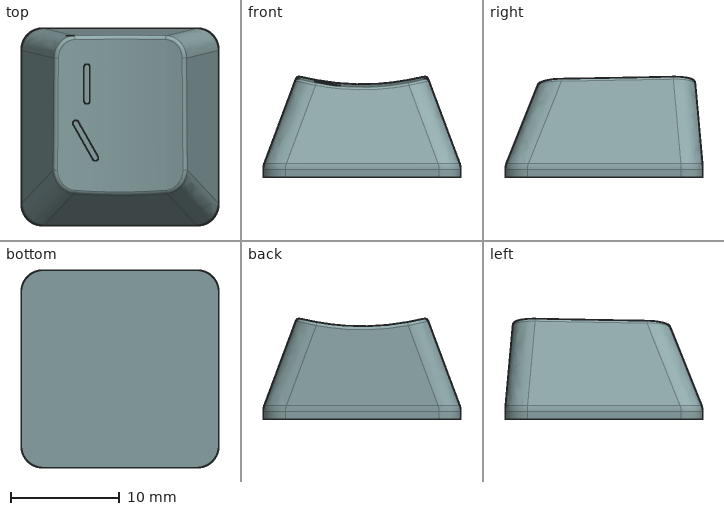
import cadquery as cq
import math

base_size = 18.16
half_base = base_size / 2
skirt_height = 0.75
bend_height = 0.56
bend_top = skirt_height + bend_height
block_height = 10.9
side_slope = 0.373
front_slope = 0.4
back_slope = 0.09
corner_radius = 2.02
rim_radius = 0.35

dish_radius = 22.7
dish_floor = 8.4
dish_slope = 0.02
dish_tilt = math.degrees(math.atan(dish_slope))
dish_length = 2 * base_size

groove_width = 0.55
groove_depth = 0.04
grooves = [
    ((-3.03, 3.94), 3.67, 90),
    ((-3.16, -1.25), 4.2, -60.5),
]


def run_height(height):
    """Wall height that counts toward the inward run, easing in across the bend."""
    if height < bend_top:
        return (height - skirt_height) ** 2 / (2 * bend_height)
    return height - (skirt_height + bend_top) / 2


def rounded_outline(height):
    """Rounded rectangle that the walls enclose at a given height."""
    run = run_height(height)
    half_width = half_base - side_slope * run
    front = -half_base + front_slope * run
    back = half_base - back_slope * run
    plate = (
        cq.Workplane("XY", origin=(0, (front + back) / 2, height))
        .rect(2 * half_width, back - front)
        .extrude(corner_radius)
        .edges("|Z")
        .fillet(corner_radius)
    )
    return plate.faces("<Z").wires().val()


def tapered_block():
    """Vertical skirt, curved bend and straight sloping walls, stacked."""
    skirt = (
        cq.Workplane("XY")
        .rect(base_size, base_size)
        .extrude(skirt_height)
        .edges("|Z")
        .fillet(corner_radius)
    )
    bend_middle = skirt_height + bend_height / 2
    bend_outlines = [rounded_outline(z) for z in (skirt_height, bend_middle, bend_top)]
    wall_outlines = [rounded_outline(z) for z in (bend_top, block_height)]
    bend = cq.Solid.makeLoft(bend_outlines)
    walls = cq.Solid.makeLoft(wall_outlines, True)
    return skirt.union(cq.Workplane(bend)).union(cq.Workplane(walls))


def dish_cylinder(radius):
    """Tilted cylinder coaxial with the dish surface."""
    return (
        cq.Workplane("XZ", origin=(0, dish_length / 2, 0))
        .circle(radius)
        .extrude(dish_length)
        .rotate((0, 0, 0), (1, 0, 0), dish_tilt)
        .translate((0, 0, dish_floor + dish_radius))
    )


def groove(center, length, angle):
    """Round-ended groove that follows the dish at a constant depth."""
    column = (
        cq.Workplane("XY")
        .center(*center)
        .slot2D(length, groove_width, angle)
        .extrude(block_height)
    )
    return column.intersect(dish_cylinder(dish_radius + groove_depth))


body = tapered_block()

body = body.cut(dish_cylinder(dish_radius))
dish_face = cq.selectors.NearestToPointSelector((0, 0, dish_floor))
body = body.faces(dish_face).edges().fillet(rim_radius)

for center, length, angle in grooves:
    body = body.cut(groove(center, length, angle))

result = body